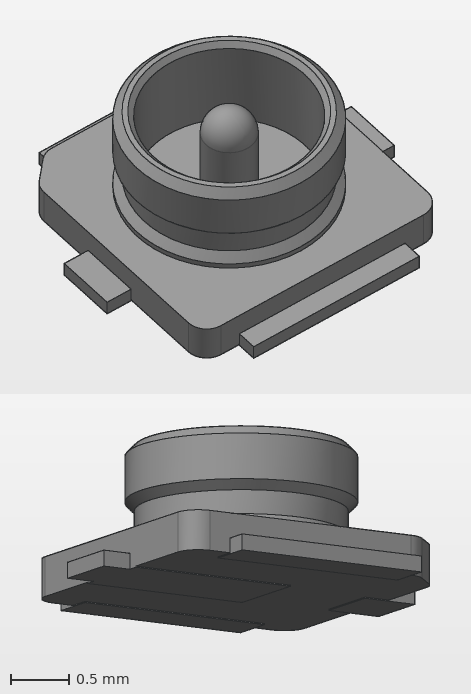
import cadquery as cq
import math

base_side = 2.6
base_bottom = 0.01
base_top = 0.36
corner_radius = 0.2
key_chamfer = 0.3

terminal_height = 0.14
wide_span = 3.0
wide_width = 1.8
wide_length = 0.4
narrow_span = 3.12
narrow_width = 0.6
narrow_length = 0.5
contact_width = 0.8

total_height = 1.26
shell_radius = 2.0 / 2
neck_radius = 1.84 / 2
bore_radius = 1.64 / 2
shell_bevel = shell_radius - neck_radius
mouth_bevel = 0.05
flange_height = 0.05
groove_bottom = base_top + flange_height + shell_bevel
groove_top = 0.70

pin_radius = 0.5 / 2
pin_top = total_height


def make_base():
    """Square plate with one cut corner and rounded vertical edges."""
    plate = (
        cq.Workplane("XY")
        .workplane(offset=base_bottom)
        .rect(base_side, base_side)
        .extrude(base_top - base_bottom)
    )
    plate = plate.edges("|Z and <X and <Y").chamfer(key_chamfer)
    return plate.edges("|Z").fillet(corner_radius)


def make_terminal(size_x, size_y, center_x, center_y):
    """Rectangular terminal standing on Z = 0."""
    return (
        cq.Workplane("XY")
        .center(center_x, center_y)
        .rect(size_x, size_y)
        .extrude(terminal_height)
    )


def make_contact_strip():
    """Wide strip under the base, from its +Y edge to the far side of the pin."""
    strip_end = -pin_radius
    strip_length = base_side / 2 - strip_end
    return make_terminal(contact_width, strip_length, 0, strip_end + strip_length / 2)


def make_shell():
    """Ring with a snap groove outside and a bevelled mouth."""
    profile = [
        (bore_radius, base_top),
        (shell_radius, base_top),
        (shell_radius, base_top + flange_height),
        (neck_radius, groove_bottom),
        (neck_radius, groove_top),
        (shell_radius, groove_top + shell_bevel),
        (shell_radius, total_height - shell_bevel),
        (shell_radius - shell_bevel, total_height),
        (bore_radius + mouth_bevel, total_height),
        (bore_radius, total_height - mouth_bevel),
    ]
    return cq.Workplane("XZ").polyline(profile).close().revolve(360, (0, 0), (0, 1))


def make_pin():
    """Round pin ending in a half sphere."""
    tip_start = pin_top - pin_radius
    half_sine = pin_radius * math.sin(math.pi / 4)
    return (
        cq.Workplane("XZ")
        .moveTo(0, base_top)
        .lineTo(pin_radius, base_top)
        .lineTo(pin_radius, tip_start)
        .threePointArc((half_sine, tip_start + half_sine), (0, pin_top))
        .close()
        .revolve(360, (0, 0), (0, 1))
    )


result = make_base().union(make_shell()).union(make_pin()).union(make_contact_strip())

wide_center = (wide_span - wide_length) / 2
narrow_center = (narrow_span - narrow_length) / 2
for side in (-1, 1):
    result = result.union(make_terminal(wide_length, wide_width, side * wide_center, 0))
    result = result.union(make_terminal(narrow_width, narrow_length, 0, side * narrow_center))